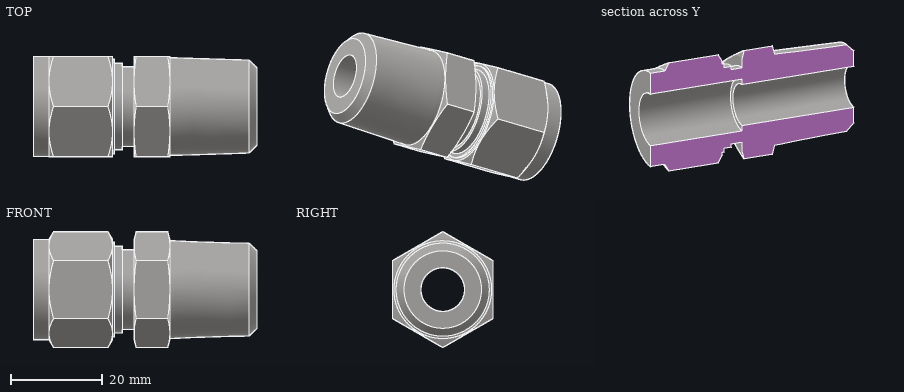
import cadquery as cq
import math

across_flats = 22.0
across_corners = across_flats / math.cos(math.radians(30))
total_length = 49.0

collar_diameter = 21.95
collar_length = 3.45
nut_hex_end = 17.35
shoulder_diameter = 20.8
shoulder_end = 17.75
nut_chamfer_angle = 30.0

ring_diameter = 19.0
ring_end = 19.5
neck_diameter = 17.55
body_hex_start = 22.05
body_hex_end = 29.9
body_chamfer_angle = 15.0

thread_shoulder_end = 30.85
thread_large_diameter = 21.4
thread_taper = 1 / 16
end_chamfer_length = 1.75
tip_diameter = 16.95

through_bore_diameter = 9.5
tube_socket_diameter = 12.0
tube_socket_depth = body_hex_start


def cylinder(start, end, diameter):
    """Round bar on the X axis from start to end."""
    return cq.Workplane("YZ", origin=(start, 0, 0)).circle(diameter / 2).extrude(end - start)


def chamfered_hexagon(start, end, chamfer_angle):
    """Hexagon with corners on +Z and -Z, its ends trimmed by cones around the X axis."""
    hexagon = (
        cq.Workplane("YZ", origin=(start, 0, 0))
        .transformed(rotate=(0, 0, 90))
        .polygon(6, across_corners)
        .extrude(end - start)
    )
    corner_clearance = 0.5
    outer_radius = across_corners / 2 + corner_clearance
    face_radius = collar_diameter / 2
    chamfer_length = (outer_radius - face_radius) * math.tan(math.radians(chamfer_angle))
    envelope = (
        cq.Workplane("XY")
        .moveTo(start, 0)
        .lineTo(start, face_radius)
        .lineTo(start + chamfer_length, outer_radius)
        .lineTo(end - chamfer_length, outer_radius)
        .lineTo(end, face_radius)
        .lineTo(end, 0)
        .close()
        .revolve(360, (0, 0, 0), (1, 0, 0))
    )
    return hexagon.intersect(envelope)


def tapered_end():
    """Short cylinder, tapered length and chamfered tip."""
    large_radius = thread_large_diameter / 2
    taper_end = total_length - end_chamfer_length
    small_radius = large_radius - (taper_end - thread_shoulder_end) * thread_taper / 2
    return (
        cq.Workplane("XY")
        .moveTo(body_hex_end, 0)
        .lineTo(body_hex_end, large_radius)
        .lineTo(thread_shoulder_end, large_radius)
        .lineTo(taper_end, small_radius)
        .lineTo(total_length, tip_diameter / 2)
        .lineTo(total_length, 0)
        .close()
        .revolve(360, (0, 0, 0), (1, 0, 0))
    )


collar = cylinder(0, collar_length, collar_diameter)
nut = chamfered_hexagon(collar_length, nut_hex_end, nut_chamfer_angle)
shoulder = cylinder(nut_hex_end, shoulder_end, shoulder_diameter)
ring = cylinder(shoulder_end, ring_end, ring_diameter)
neck = cylinder(ring_end, body_hex_start, neck_diameter)
body_hex = chamfered_hexagon(body_hex_start, body_hex_end, body_chamfer_angle)

outside = collar
for section in (nut, shoulder, ring, neck, body_hex, tapered_end()):
    outside = outside.union(section)

through_bore = cylinder(0, total_length, through_bore_diameter)
tube_socket = cylinder(0, tube_socket_depth, tube_socket_diameter)
result = outside.cut(through_bore).cut(tube_socket)